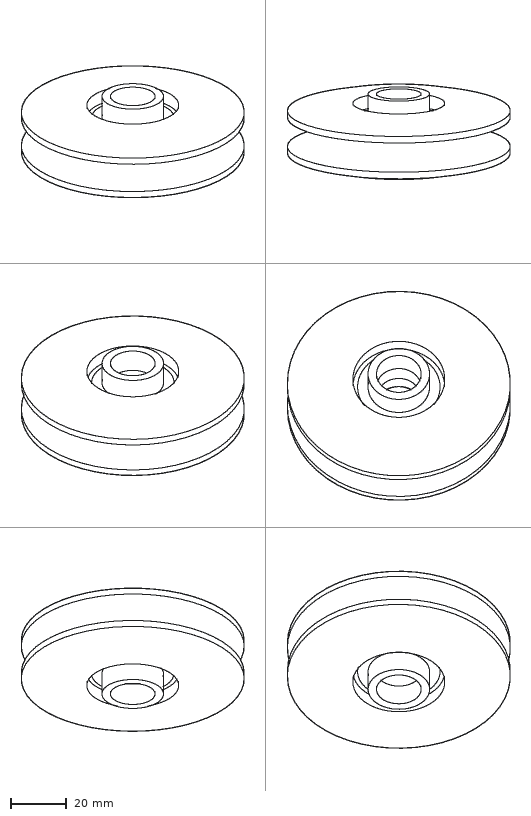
import cadquery as cq
import math

wheel_radius = 40.0
wheel_half_width = 10.5
face_radius = 30.0
face_bevel_angle = math.radians(15)
groove_root_radius = 25.0
groove_arc_radius = 4.0
groove_wall_angle = math.radians(7)

bearing_seat_radius = 16.5
bearing_recess_depth = 4.9
bearing_width = wheel_half_width - bearing_recess_depth
race_split_radius = 14.8
bearing_bore_radius = 7.5
bore_round = 0.5

overall_half_width = 13.9
spacer_outer_radius = 11.0
spacer_bore_radius = 8.0
spacer_length = overall_half_width - bearing_width


def make_tube(outer_radius, inner_radius, length, bottom):
    """Plain tube along Z, starting at height bottom."""
    return cq.Workplane("XY", origin=(0, 0, bottom)).circle(outer_radius).circle(inner_radius).extrude(length)


def make_wheel():
    """Revolved wheel with bevelled faces and a round-bottomed rope groove."""
    arc_center_radius = groove_root_radius + groove_arc_radius
    wall_start_radius = arc_center_radius - groove_arc_radius * math.sin(groove_wall_angle)
    wall_start_z = groove_arc_radius * math.cos(groove_wall_angle)
    wall_rise = (wheel_radius - wall_start_radius) * math.tan(groove_wall_angle)
    rim_inner_z = wall_start_z + wall_rise
    rim_outer_z = wheel_half_width - (wheel_radius - face_radius) * math.tan(face_bevel_angle)

    return (
        cq.Workplane("XZ")
        .moveTo(bearing_seat_radius, wheel_half_width)
        .lineTo(face_radius, wheel_half_width)
        .lineTo(wheel_radius, rim_outer_z)
        .lineTo(wheel_radius, rim_inner_z)
        .lineTo(wall_start_radius, wall_start_z)
        .threePointArc((groove_root_radius, 0), (wall_start_radius, -wall_start_z))
        .lineTo(wheel_radius, -rim_inner_z)
        .lineTo(wheel_radius, -rim_outer_z)
        .lineTo(face_radius, -wheel_half_width)
        .lineTo(bearing_seat_radius, -wheel_half_width)
        .close()
        .revolve(360, (0, 0, 0), (0, 1, 0))
    )


def make_outer_race(bottom):
    """Bearing ring seated in the wheel."""
    return make_tube(bearing_seat_radius, race_split_radius, bearing_width, bottom)


def make_inner_race(bottom, outward_face):
    """Bearing ring with the bore edge rounded at its outward end."""
    ring = make_tube(race_split_radius, bearing_bore_radius, bearing_width, bottom)
    bore_edge = cq.selectors.RadiusNthSelector(0)
    return ring.faces(outward_face).edges(bore_edge).fillet(bore_round)


def make_spacer(bottom):
    """End spacer projecting beyond the wheel face."""
    return make_tube(spacer_outer_radius, spacer_bore_radius, spacer_length, bottom)


wheel = make_wheel()

outer_races = []
inner_races = []
for bearing_bottom, outward_face in ((-bearing_width, "<Z"), (0, ">Z")):
    outer_races.append(make_outer_race(bearing_bottom).val())
    inner_races.append(make_inner_race(bearing_bottom, outward_face).val())

spacers = []
for spacer_bottom in (-overall_half_width, bearing_width):
    spacers.append(make_spacer(spacer_bottom).val())

result = cq.Compound.makeCompound([wheel.val(), *outer_races, *inner_races, *spacers])